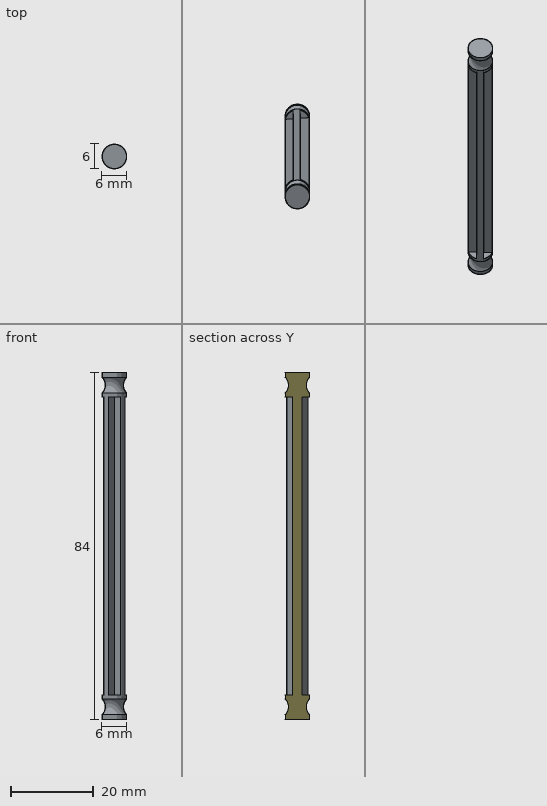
import cadquery as cq

length = 84.0
diameter = 6.0
radius = diameter / 2

end_disc_height = 1.2
neck_width = 3.8
neck_depth = 0.75
neck_middle = end_disc_height + neck_width / 2

flute_count = 4
flute_end_gap = 6.0
flute_half_width = 1.4
flute_length = length - 2 * flute_end_gap


def neck_cutter(middle):
    """Ring with an arc-shaped inner face, centred at height middle."""
    low = middle - neck_width / 2
    high = middle + neck_width / 2
    return (
        cq.Workplane("XZ")
        .moveTo(radius, low)
        .threePointArc((radius - neck_depth, middle), (radius, high))
        .lineTo(diameter, high)
        .lineTo(diameter, low)
        .close()
        .revolve(360, (0, 0, 0), (0, 1, 0))
    )


def flute_cutter(angle):
    """Triangular prism whose 90 degree ridge points at the rod axis."""
    edge_distance = (radius**2 - flute_half_width**2) ** 0.5
    ridge_distance = edge_distance - flute_half_width
    outer_half_width = radius - ridge_distance
    return (
        cq.Workplane("XY", origin=(0, 0, flute_end_gap))
        .moveTo(ridge_distance, 0)
        .lineTo(radius, outer_half_width)
        .lineTo(radius, -outer_half_width)
        .close()
        .extrude(flute_length)
        .rotate((0, 0, 0), (0, 0, 1), angle)
    )


result = cq.Workplane("XY").circle(radius).extrude(length)

for middle in (neck_middle, length - neck_middle):
    result = result.cut(neck_cutter(middle))

for index in range(flute_count):
    result = result.cut(flute_cutter(index * 360 / flute_count))